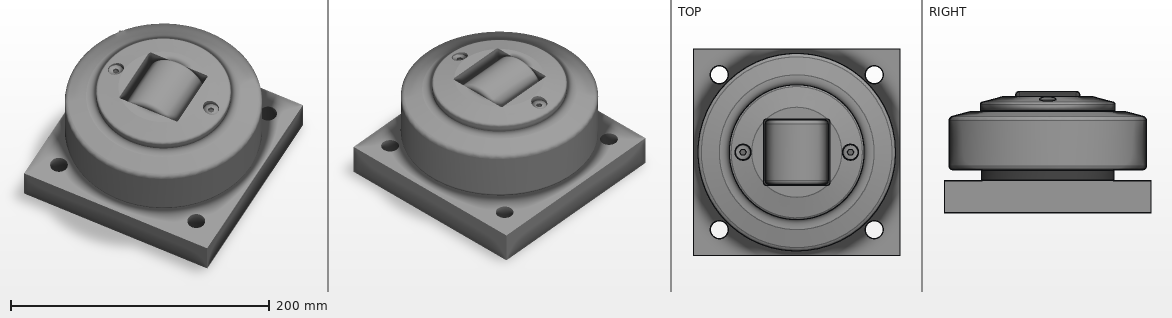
import cadquery as cq
import math

plate_side = 160.0
plate_height = 25.0
mount_hole_diameter = 13.8
mount_hole_spacing = 120.0

overall_height = 94.0
collar_diameter = 103.0
disc_diameter = 153.0
disc_flat_diameter = 120.0
disc_bottom = 33.5
disc_top = 78.5
disc_bottom_fillet = 3.0
disc_top_fillet = 3.5
neck_diameter = 101.1
collar_groove_diameter = 101.5
collar_groove_height = 0.6
cap_diameter = 104.5
cap_flat_diameter = 69.8
cap_bottom = 79.2
cap_top = 90.0
cap_fillet = 2.0
cone_slope = math.tan(math.radians(15))

pocket_side = 51.2
pocket_corner_radius = 1.6
roller_diameter = 48.8
roller_length = 50.0
roller_fillet = 3.0
roller_axis_height = overall_height - roller_diameter / 2

screw_offset = 41.6
screw_bore_diameter = 12.5
screw_head_diameter = 11.7
screw_head_top = 85.6
screw_head_height = 3.2
socket_corner_diameter = 5.1
socket_depth = 2.0


def coned_disc(diameter, flat_diameter, bottom, top):
    """Disc whose top slopes down from a central flat to its rim."""
    radius = diameter / 2
    flat_radius = flat_diameter / 2
    rim_height = top - (radius - flat_radius) * cone_slope
    return (
        cq.Workplane("XZ")
        .moveTo(0, bottom)
        .lineTo(radius, bottom)
        .lineTo(radius, rim_height)
        .lineTo(flat_radius, top)
        .lineTo(0, top)
        .close()
        .revolve(360, (0, 0), (0, 1))
    )


def rim_edge(height):
    """Selector for edges centred near a height."""
    reach = disc_diameter
    band = 0.2
    return cq.selectors.BoxSelector(
        (-reach, -reach, height - band), (reach, reach, height + band)
    )


def make_plate():
    return (
        cq.Workplane("XY")
        .rect(plate_side, plate_side)
        .extrude(plate_height)
        .faces(">Z")
        .workplane()
        .rect(mount_hole_spacing, mount_hole_spacing, forConstruction=True)
        .vertices()
        .hole(mount_hole_diameter)
    )


def make_disc():
    disc = coned_disc(disc_diameter, disc_flat_diameter, disc_bottom, disc_top)
    rim_height = disc_top - (disc_diameter - disc_flat_diameter) / 2 * cone_slope
    disc = disc.edges(rim_edge(rim_height)).fillet(disc_top_fillet)
    return disc.faces("<Z").edges().fillet(disc_bottom_fillet)


def make_cap():
    cap = coned_disc(cap_diameter, cap_flat_diameter, cap_bottom, cap_top)
    rim_height = cap_top - (cap_diameter - cap_flat_diameter) / 2 * cone_slope
    return cap.edges(rim_edge(rim_height)).fillet(cap_fillet)


def cylinder(diameter, bottom, top):
    return cq.Workplane("XY").workplane(offset=bottom).circle(diameter / 2).extrude(top - bottom)


def make_collar():
    """Collar with a narrow groove against the plate and against the disc."""
    core = cylinder(collar_groove_diameter, plate_height, disc_bottom)
    band = cylinder(
        collar_diameter, plate_height + collar_groove_height, disc_bottom - collar_groove_height
    )
    return core.union(band)


def make_pocket():
    """Square cavity reaching down to the roller axis."""
    return (
        cq.Workplane("XY")
        .workplane(offset=roller_axis_height)
        .rect(pocket_side, pocket_side)
        .extrude(overall_height - roller_axis_height)
        .edges("|Z")
        .fillet(pocket_corner_radius)
    )


def make_roller():
    """Roller along Y, its lower half sunk in the body below the pocket floor."""
    return (
        cq.Workplane("XZ", origin=(0, roller_length / 2, roller_axis_height))
        .circle(roller_diameter / 2)
        .extrude(roller_length)
        .edges()
        .fillet(roller_fillet)
    )


def add_screw(body, x):
    """Bore a vertical recess and seat a hexagon-socket screw head in it."""
    bore_floor = screw_head_top - screw_head_height
    bore = cylinder(screw_bore_diameter, bore_floor, overall_height)
    head = cylinder(screw_head_diameter, bore_floor, screw_head_top)
    socket = (
        cq.Workplane("XY")
        .workplane(offset=screw_head_top - socket_depth)
        .polygon(6, socket_corner_diameter)
        .extrude(socket_depth)
    )
    position = (x, 0, 0)
    return body.cut(bore.translate(position)).union(head.cut(socket).translate(position))


collar = make_collar()
neck = cylinder(neck_diameter, disc_top, cap_bottom)
result = make_plate().union(collar).union(make_disc()).union(neck).union(make_cap())
result = result.cut(make_pocket()).union(make_roller())
for screw_x in (-screw_offset, screw_offset):
    result = add_screw(result, screw_x)